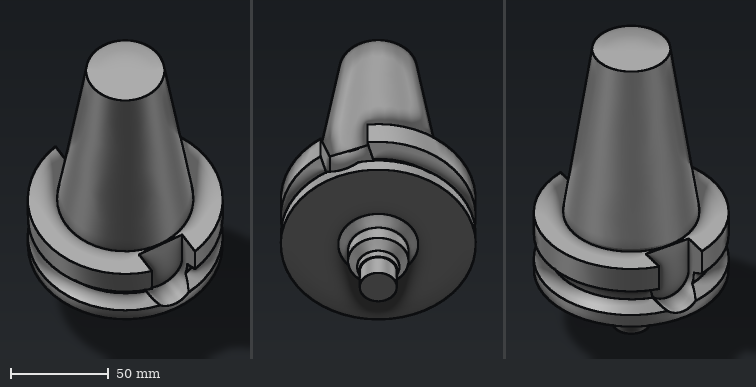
import math

import cadquery as cq

GAUGE_DIAMETER = 69.85
TAPER_LENGTH = 101.8
TAPER_RATIO = 7 / 24
TOP_DIAMETER = GAUGE_DIAMETER - TAPER_LENGTH * TAPER_RATIO

FLANGE_DIAMETER = 100.0
FLANGE_TOP_Z = -1.5
FLANGE_BOTTOM_Z = -38.0

GROOVE_CENTER_Z = -23.2
GROOVE_FLOOR_DIAMETER = 84.7
GROOVE_MOUTH_WIDTH = 15.0
GROOVE_FLANK_ANGLE = 30.0
GROOVE_DEPTH = (FLANGE_DIAMETER - GROOVE_FLOOR_DIAMETER) / 2
FLANK_HEIGHT = GROOVE_DEPTH * math.tan(math.radians(GROOVE_FLANK_ANGLE))
GROOVE_FLOOR_WIDTH = GROOVE_MOUTH_WIDTH - 2 * FLANK_HEIGHT

SLOT_WIDTH = 25.7
SLOT_BOTTOM_Z = -33.85
SLOT_FLOOR_X = 35.4

NOSE_ROOT_DIAMETER = 41.0
COLLAR_DIAMETER = 31.0
COLLAR_BOTTOM_Z = -51.2
NECK_TOP_DIAMETER = 21.7
NECK_BOTTOM_DIAMETER = 19.8
NECK_BOTTOM_Z = -59.5
PILOT_DIAMETER = 19.0
PILOT_BOTTOM_Z = -72.0
COLLAR_TOP_Z = FLANGE_BOTTOM_Z - (NOSE_ROOT_DIAMETER - COLLAR_DIAMETER) / 2
NECK_TOP_Z = COLLAR_BOTTOM_Z - (COLLAR_DIAMETER - NECK_TOP_DIAMETER) / 2


def revolve_profile(stations):
    """Solid of revolution about Z through (diameter, z) stations, listed along the axis."""
    first_z = stations[0][1]
    last_z = stations[-1][1]
    outline = [(diameter / 2, z) for diameter, z in stations]
    half_section = cq.Workplane("XZ").polyline([(0, first_z), *outline, (0, last_z)]).close()
    return half_section.revolve(360, (0, 0, 0), (0, 1, 0))


def shank():
    return revolve_profile([
        (TOP_DIAMETER, TAPER_LENGTH),
        (GAUGE_DIAMETER, 0),
        (GAUGE_DIAMETER, FLANGE_TOP_Z),
    ])


def flange():
    return revolve_profile([
        (FLANGE_DIAMETER, FLANGE_TOP_Z),
        (FLANGE_DIAMETER, GROOVE_CENTER_Z + GROOVE_MOUTH_WIDTH / 2),
        (GROOVE_FLOOR_DIAMETER, GROOVE_CENTER_Z + GROOVE_FLOOR_WIDTH / 2),
        (GROOVE_FLOOR_DIAMETER, GROOVE_CENTER_Z - GROOVE_FLOOR_WIDTH / 2),
        (FLANGE_DIAMETER, GROOVE_CENTER_Z - GROOVE_MOUTH_WIDTH / 2),
        (FLANGE_DIAMETER, FLANGE_BOTTOM_Z),
    ])


def nose():
    return revolve_profile([
        (NOSE_ROOT_DIAMETER, FLANGE_BOTTOM_Z),
        (COLLAR_DIAMETER, COLLAR_TOP_Z),
        (COLLAR_DIAMETER, COLLAR_BOTTOM_Z),
        (NECK_TOP_DIAMETER, NECK_TOP_Z),
        (NECK_BOTTOM_DIAMETER, NECK_BOTTOM_Z),
        (PILOT_DIAMETER, NECK_BOTTOM_Z),
        (PILOT_DIAMETER, PILOT_BOTTOM_Z),
    ])


def drive_slot(side):
    """Round-bottomed slot cutter; side is -1 for the -X slot and +1 for the +X slot."""
    half_width = SLOT_WIDTH / 2
    arc_center_z = SLOT_BOTTOM_Z + half_width
    return (
        cq.Workplane("YZ", origin=(side * SLOT_FLOOR_X, 0, 0))
        .moveTo(-half_width, FLANGE_TOP_Z)
        .lineTo(-half_width, arc_center_z)
        .threePointArc((0, SLOT_BOTTOM_Z), (half_width, arc_center_z))
        .lineTo(half_width, FLANGE_TOP_Z)
        .close()
        .extrude(side * FLANGE_DIAMETER / 2)
    )


result = shank().union(flange()).union(nose())
for slot_side in (-1, 1):
    result = result.cut(drive_slot(slot_side))